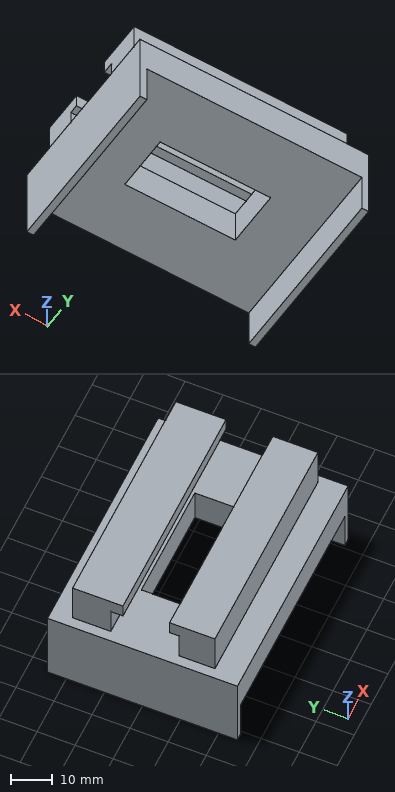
import cadquery as cq

length = 65.5
width = 50.0
height = 33.7
rail_height = 12.0
plate_thickness = 10.0
wall_thickness = 1.95
base_height = height - rail_height
leg_height = base_height - plate_thickness

rail_length = 61.0
rail_start = 2.6
lip_thickness = 4.0
rear_stem_width = 10.0
rear_lip_overhang = 3.2
rear_margin = 5.5
front_stem_width = 9.4
front_lip_overhang = 2.5
front_margin = 7.1

window_length = 31.65
window_width = 15.6
window_start = (length - window_length) / 2
window_front = (width - window_width) / 2


def block(x, y, z, size_x, size_y, size_z):
    """Box placed by its lowest corner."""
    return cq.Workplane("XY").box(size_x, size_y, size_z, centered=False).translate((x, y, z))


def rail(outer_y, inward, stem_width, overhang):
    """L-section rail; inward is +1 or -1, the Y direction its lip points."""
    stem_y = outer_y + inward * stem_width
    lip_y = stem_y + inward * overhang
    lip_bottom = height - lip_thickness
    section = [
        (outer_y, base_height),
        (stem_y, base_height),
        (stem_y, lip_bottom),
        (lip_y, lip_bottom),
        (lip_y, height),
        (outer_y, height),
    ]
    return cq.Workplane("YZ").workplane(offset=rail_start).polyline(section).close().extrude(rail_length)


base = block(0, 0, 0, length, width, base_height)
channel = block(wall_thickness, 0, 0, length - 2 * wall_thickness, width, leg_height)
window = block(window_start, window_front, leg_height, window_length, window_width, plate_thickness)

front_rail = rail(front_margin, 1, front_stem_width, front_lip_overhang)
rear_rail = rail(width - rear_margin, -1, rear_stem_width, rear_lip_overhang)

result = base.cut(channel).cut(window).union(front_rail).union(rear_rail)